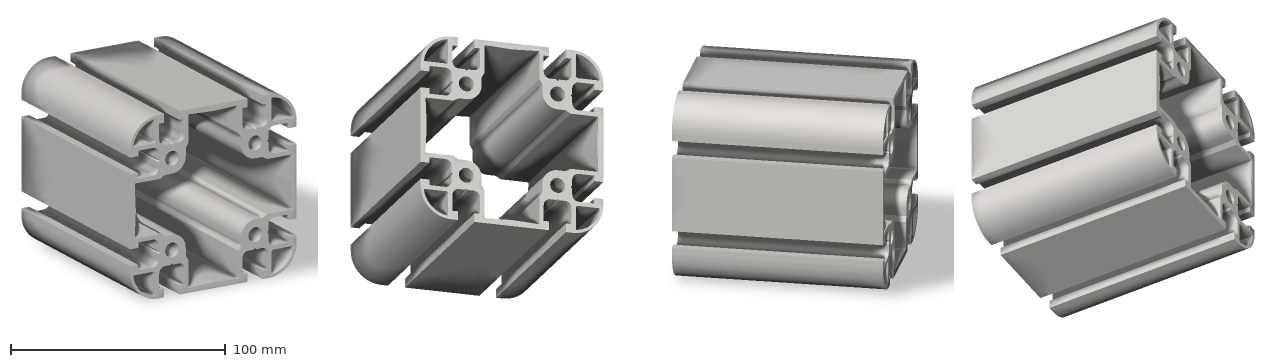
import cadquery as cq
import math

length = 100.0
side = 90.0
half_side = side / 2
corner_radius = 15.0

slot_offset = 22.5
slot_mouth = 8.3
slot_width = 13.7
lip_depth = 4.3
slot_depth = 15.3
slot_fillet = 3.2
groove_width = 1.4
groove_depth = 0.7

slot_wall = 2.1
side_wall = 2.4
crown_height = 0.6
corner_wall = 1.5
pocket_fillet = 1.0
pocket_tip_fillet = 0.5
arm_fillet = 0.5
bore_diameter = 7.3
boss_radius = 7.5
boss_bevel_outer = 28.9
boss_bevel_inner = 26.4


def rotate_quarters(y, z, quarters):
    """Turn a section point about the centre by a number of quarter turns."""
    for _ in range(quarters):
        y, z = -z, y
    return y, z


def make_cavity():
    """Cross-shaped central cavity with crowned arm ends and round bosses in its corners."""
    arm_half = slot_offset - slot_width / 2 - slot_wall
    arm_end = half_side - side_wall
    boss_side = slot_offset - boss_radius
    boss_peak = slot_offset - boss_radius * math.sqrt(0.5)

    section = cq.Workplane("YZ", origin=(-length / 2, 0, 0)).moveTo(arm_end, -arm_half)
    for quarter in range(4):
        def turned(y, z):
            return rotate_quarters(y, z, quarter)

        section = (
            section.lineTo(*turned(arm_end - crown_height, 0))
            .lineTo(*turned(arm_end, arm_half))
            .lineTo(*turned(boss_bevel_outer, arm_half))
            .lineTo(*turned(boss_bevel_inner, boss_side))
            .lineTo(*turned(slot_offset, boss_side))
            .threePointArc(turned(boss_peak, boss_peak), turned(boss_side, slot_offset))
            .lineTo(*turned(boss_side, boss_bevel_inner))
            .lineTo(*turned(arm_half, boss_bevel_outer))
        )
        if quarter < 3:
            section = section.lineTo(*turned(arm_half, arm_end))
    cavity = section.close().extrude(length)
    return cavity.edges("|X and (>Y or <Y or >Z or <Z)").fillet(arm_fillet)


def make_slot():
    """T-slot opening on the top side, with filleted floor edges and a V groove in the floor."""
    floor = half_side - slot_depth
    lip = half_side - lip_depth
    start = cq.Workplane("YZ", origin=(-length / 2, slot_offset, 0))
    chamber = (
        start.center(0, (floor + lip) / 2)
        .rect(slot_width, lip - floor)
        .extrude(length)
        .edges("|X and <Z")
        .fillet(slot_fillet)
    )
    mouth = start.center(0, half_side - lip_depth / 2).rect(slot_mouth, lip_depth).extrude(length)
    groove = (
        start.polyline([(-groove_width / 2, floor), (0, floor - groove_depth), (groove_width / 2, floor)])
        .close()
        .extrude(length)
    )
    return chamber.union(mouth).union(groove)


def make_corner_pocket():
    """Hollow between the curved corner wall and the two neighbouring slots."""
    inner = slot_offset + slot_width / 2 + slot_wall
    arc_centre = half_side - corner_radius
    radius = corner_radius - corner_wall
    tip = arc_centre + math.sqrt(radius**2 - (inner - arc_centre) ** 2)
    arc_middle = arc_centre + radius * math.sqrt(0.5)
    return (
        cq.Workplane("YZ", origin=(-length / 2, 0, 0))
        .moveTo(inner, inner)
        .lineTo(tip, inner)
        .threePointArc((arc_middle, arc_middle), (inner, tip))
        .close()
        .extrude(length)
        .edges("|X and <Y and <Z")
        .fillet(pocket_fillet)
        .edges("|X and (>Y or >Z)")
        .fillet(pocket_tip_fillet)
    )


def make_bore():
    """Screw bore running the full length through a boss."""
    return (
        cq.Workplane("YZ", origin=(-length / 2, slot_offset, slot_offset))
        .circle(bore_diameter / 2)
        .extrude(length)
    )


bar = cq.Workplane("XY").box(length, side, side).edges("|X").fillet(corner_radius)
result = bar.cut(make_cavity())

top_slot = make_slot()
quarter_cuts = [top_slot, top_slot.mirror("XZ"), make_corner_pocket(), make_bore()]
for quarter in range(4):
    for cutter in quarter_cuts:
        result = result.cut(cutter.rotate((0, 0, 0), (1, 0, 0), 90 * quarter))